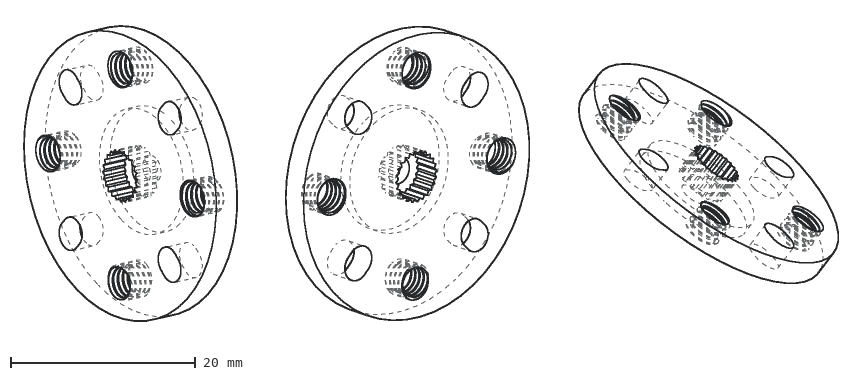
import cadquery as cq
import math

DISC_DIAMETER = 31.98
DISC_THICKNESS = 3.0
HUB_DIAMETER = 13.95
TOTAL_DEPTH = 4.5

BORE_DIAMETER = 3.0
SOCKET_TEETH = 24
SOCKET_OUTER_RADIUS = 2.88
SOCKET_INNER_RADIUS = 2.55
SOCKET_DEPTH = 3.0
SOCKET_PHASE = -3.0

THREAD_CIRCLE_RADIUS = 12.0
THREAD_MAJOR_RADIUS = 2.0
THREAD_MINOR_RADIUS = 1.65
THREAD_PITCH = 0.7
GROOVE_MOUTH_WIDTH = THREAD_PITCH * 3 / 4
GROOVE_BOTTOM_WIDTH = THREAD_PITCH / 8
GROOVE_OVERLAP = 0.05
GROOVE_OVERRUN_TURNS = 2
COUNTERSINK_DEPTH = 0.48
THREAD_HOLE_ANGLES = (0, 90, 180, 270)
THREAD_START_ANGLE = -35.0
PLAIN_HOLE_ANGLE = 180

SLOT_CIRCLE_RADIUS = 11.65
SLOT_WIDTH = 3.3
SLOT_STRETCH = 0.7
SLOT_ANGLES = (45, 135, 225, 315)


def front_plane():
    """XZ workplane at the front face; extrusions run backwards, along +Y."""
    return cq.Workplane(cq.Plane(origin=(0, 0, 0), xDir=(-1, 0, 0), normal=(0, 1, 0)))


def spun(solid, angle):
    """Turn a solid about the axis of the disc."""
    return solid.rotate((0, 0, 0), (0, 1, 0), angle)


def make_body():
    disc = front_plane().circle(DISC_DIAMETER / 2).extrude(DISC_THICKNESS)
    hub = front_plane().circle(HUB_DIAMETER / 2).extrude(TOTAL_DEPTH)
    bore = front_plane().circle(BORE_DIAMETER / 2).extrude(TOTAL_DEPTH)
    return disc.union(hub).cut(bore)


def make_socket():
    half_tooth = 180 / SOCKET_TEETH
    points = []
    for i in range(2 * SOCKET_TEETH):
        radius = SOCKET_INNER_RADIUS if i % 2 else SOCKET_OUTER_RADIUS
        angle = math.radians(SOCKET_PHASE + i * half_tooth)
        points.append((radius * math.cos(angle), radius * math.sin(angle)))
    return front_plane().polyline(points).close().extrude(SOCKET_DEPTH)


def make_slot():
    return (
        front_plane()
        .center(SLOT_CIRCLE_RADIUS, 0)
        .slot2D(SLOT_WIDTH + SLOT_STRETCH, SLOT_WIDTH)
        .extrude(DISC_THICKNESS)
    )


def make_groove():
    """Right-hand helical groove about Z, running past both faces of the disc."""
    overrun = GROOVE_OVERRUN_TURNS * THREAD_PITCH
    length = DISC_THICKNESS + 2 * overrun
    groove_depth = THREAD_MAJOR_RADIUS - THREAD_MINOR_RADIUS
    slope = (GROOVE_MOUTH_WIDTH - GROOVE_BOTTOM_WIDTH) / 2 / groove_depth
    half_bottom = GROOVE_BOTTOM_WIDTH / 2
    half_mouth = GROOVE_MOUTH_WIDTH / 2 + slope * GROOVE_OVERLAP
    inner_radius = THREAD_MINOR_RADIUS - GROOVE_OVERLAP
    helix = cq.Wire.makeHelix(THREAD_PITCH, length, THREAD_MINOR_RADIUS)
    groove = (
        cq.Workplane("XZ")
        .polyline([
            (inner_radius, -half_mouth),
            (THREAD_MAJOR_RADIUS, -half_bottom),
            (THREAD_MAJOR_RADIUS, half_bottom),
            (inner_radius, half_mouth),
        ])
        .close()
        .sweep(cq.Workplane(helix), isFrenet=True)
    )
    groove = groove.rotate((0, 0, 0), (0, 0, 1), THREAD_START_ANGLE)
    return groove.translate((0, 0, -overrun))


def stand_at_top(cutter):
    """Move a cutter built along Z to the threaded hole above the centre, pointing along +Y."""
    return cutter.rotate((0, 0, 0), (1, 0, 0), -90).translate((0, 0, THREAD_CIRCLE_RADIUS))


def make_drill():
    return cq.Workplane("XY").circle(THREAD_MINOR_RADIUS).extrude(DISC_THICKNESS)


def make_countersink():
    return cq.Workplane(cq.Solid.makeCone(THREAD_MAJOR_RADIUS, THREAD_MINOR_RADIUS, COUNTERSINK_DEPTH))


result = make_body().cut(make_socket())
for angle in SLOT_ANGLES:
    result = result.cut(spun(make_slot(), angle))

drill = stand_at_top(make_drill())
groove = stand_at_top(make_groove())
countersink = stand_at_top(make_countersink())
for angle in THREAD_HOLE_ANGLES:
    result = result.cut(spun(groove, angle)).cut(spun(drill, angle))
    if angle != PLAIN_HOLE_ANGLE:
        result = result.cut(spun(countersink, angle))